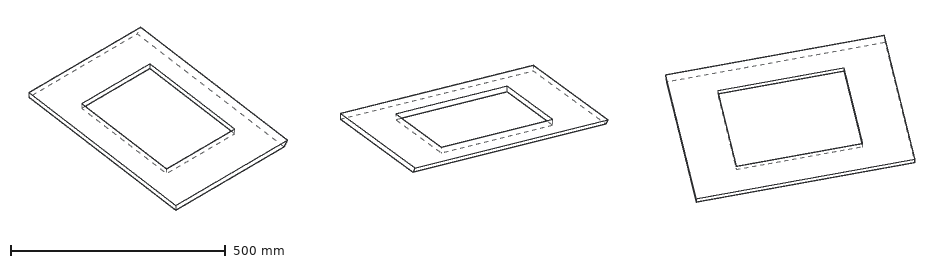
import cadquery as cq

length = 520.0
width = 345.0
thickness = 15.0

rear_undercut = 10.5

window_length = 300.0
window_width = 210.0


def make_plate():
    """Plate with its rear edge slanting inwards towards the bottom."""
    front = -width / 2
    rear = width / 2
    return (
        cq.Workplane("YZ")
        .moveTo(front, 0)
        .lineTo(rear - rear_undercut, 0)
        .lineTo(rear, thickness)
        .lineTo(front, thickness)
        .close()
        .extrude(length / 2, both=True)
    )


def make_window():
    """Straight-sided block that opens the window through the plate."""
    return cq.Workplane("XY").rect(window_length, window_width).extrude(thickness)


result = make_plate().cut(make_window())